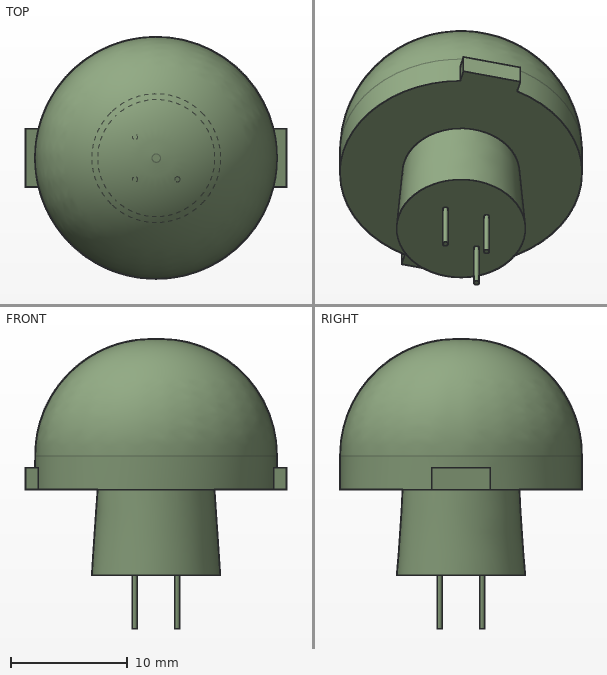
import cadquery as cq

total_height = 24.8
pin_length = 4.6
neck_height = 7.32
rim_height = 2.9
neck_bottom_z = pin_length
rim_bottom_z = neck_bottom_z + neck_height
dome_bottom_z = rim_bottom_z + rim_height

rim_radius = 20.7 / 2
dome_radius = total_height - dome_bottom_z
crown_radius = rim_radius - dome_radius
neck_bottom_radius = 5.5
neck_top_radius = 5.0

tab_span = 22.32
tab_width = 5.0
tab_height = 1.88

pin_diameter = 0.45
pin_offset = 1.8
pin_places = [
    (-pin_offset, -pin_offset),
    (-pin_offset, pin_offset),
    (pin_offset, -pin_offset),
]


def make_body():
    """Revolve the tapered neck, straight rim and dome as one profile."""
    profile = (
        cq.Workplane("XZ")
        .moveTo(0, neck_bottom_z)
        .lineTo(neck_bottom_radius, neck_bottom_z)
        .lineTo(neck_top_radius, rim_bottom_z)
        .lineTo(rim_radius, rim_bottom_z)
        .lineTo(rim_radius, dome_bottom_z)
        .tangentArcPoint((crown_radius, total_height), relative=False)
        .lineTo(0, total_height)
        .close()
    )
    return profile.revolve(360, (0, 0, 0), (0, 1, 0))


def make_tabs():
    """One bar through the rim; its two ends stand out as the side tabs."""
    return (
        cq.Workplane("XY", origin=(0, 0, rim_bottom_z))
        .rect(tab_span, tab_width)
        .extrude(tab_height)
    )


def make_pins():
    """Pins hanging below the neck."""
    return (
        cq.Workplane("XY")
        .pushPoints(pin_places)
        .circle(pin_diameter / 2)
        .extrude(pin_length)
    )


result = make_body().union(make_tabs()).union(make_pins())